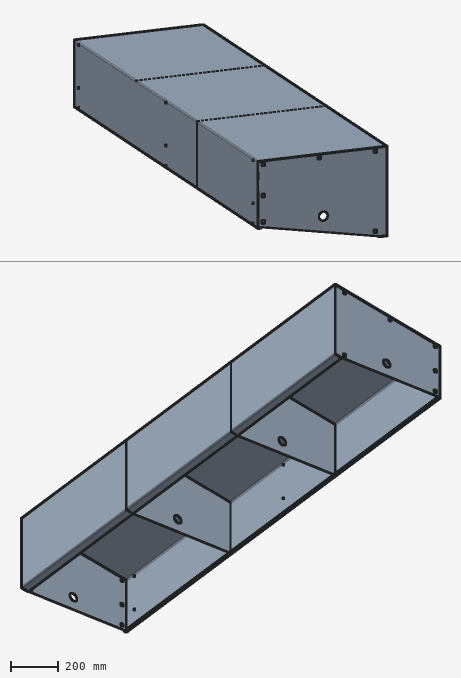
import cadquery as cq

LENGTH = 2000.0
DEPTH = 600.0
HEIGHT = 400.0

SHEET = 2.0
BEND_RADIUS = 5.0

FRONT_WALL_BOTTOM = 100.0
FRONT_LIP = 15.0
REAR_LIP = 40.0

FIXING_HOLE_DIAMETER = 8.0
FIXING_END_INSET = 50.0
FIXING_EDGE_INSET = 10.0
FIXING_COLUMNS = (FIXING_END_INSET, LENGTH / 2, LENGTH - FIXING_END_INSET)
FIXING_ROWS = (FRONT_WALL_BOTTOM + FIXING_EDGE_INSET, HEIGHT / 2, HEIGHT - FIXING_EDGE_INSET)

BAYS = 3
PLATE_THICKNESS = SHEET
PLATE_CLEARANCE = 2.0
PLATE_INSET = SHEET + PLATE_CLEARANCE
PLATE_FRONT_FLAT = 25.0
PLATE_REAR_FLAT = 42.0
END_PLATE_STARTS = (0, LENGTH - PLATE_THICKNESS)
PARTITION_STARTS = [LENGTH * i / BAYS - PLATE_THICKNESS / 2 for i in range(1, BAYS)]

CABLE_HOLE_DIAMETER = 40.0
CABLE_HOLE_CENTRE = (305.0, 122.0)

SCREW_HOLE_DIAMETER = 15.0
SCREW_FRONT_Y = 28.0
SCREW_REAR_Y = DEPTH - 55.0
SCREW_MIDDLE_Y = (SCREW_FRONT_Y + SCREW_REAR_Y) / 2
SCREW_TOP_Z = HEIGHT - 18.0
SCREW_FRONT_MIDDLE_Z = 245.0
SCREW_FRONT_BOTTOM_Z = 128.0
SCREW_REAR_BOTTOM_Z = 28.0
SCREW_CENTRES = [
    (SCREW_FRONT_Y, SCREW_TOP_Z),
    (SCREW_MIDDLE_Y, SCREW_TOP_Z),
    (SCREW_REAR_Y, SCREW_TOP_Z),
    (SCREW_FRONT_Y, SCREW_FRONT_MIDDLE_Z),
    (SCREW_FRONT_Y, SCREW_FRONT_BOTTOM_Z),
    (SCREW_REAR_Y, SCREW_REAR_BOTTOM_Z),
]


def section_prism(start, length, inset, front_flat, rear_flat):
    """Prism along X with the housing cross-section, moved in by inset and rounded at its four bends.

    The bottom is flat from the front to Y = front_flat and over the last rear_flat before the rear,
    with a slope between the two flats.
    """
    front = inset
    rear = DEPTH - inset
    top = HEIGHT - inset
    outline = [
        (front, FRONT_WALL_BOTTOM + inset),
        (front, top),
        (rear, top),
        (rear, inset),
        (DEPTH - rear_flat, inset),
        (front_flat, FRONT_WALL_BOTTOM + inset),
    ]
    prism = cq.Workplane("YZ", origin=(start, 0, 0)).polyline(outline).close().extrude(length)
    return prism.edges("|X and (<Y or >Y)").fillet(BEND_RADIUS - inset)


def holes_along_x(start, length, centres, diameter):
    """Round cutters along X at the given (Y, Z) centres."""
    plane = cq.Workplane("YZ", origin=(start, 0, 0))
    return plane.pushPoints(centres).circle(diameter / 2).extrude(length)


def make_housing():
    """One bent sheet, open at both ends and open underneath between its two lips."""
    outside = section_prism(0, LENGTH, 0, FRONT_LIP, REAR_LIP)
    inside = section_prism(0, LENGTH, SHEET, FRONT_LIP, REAR_LIP)
    opening = cq.Workplane("XY", origin=(0, FRONT_LIP, 0)).box(
        LENGTH, DEPTH - FRONT_LIP - REAR_LIP, HEIGHT / 2, centered=False
    )
    fixing_centres = [(x, z) for x in FIXING_COLUMNS for z in FIXING_ROWS]
    fixing_holes = (
        cq.Workplane("XZ").pushPoints(fixing_centres).circle(FIXING_HOLE_DIAMETER / 2).extrude(-BEND_RADIUS)
    )
    return outside.cut(inside).cut(opening).cut(fixing_holes)


def make_partition(start):
    """Flat cross plate with a sloped lower edge and the cable hole."""
    blank = section_prism(start, PLATE_THICKNESS, PLATE_INSET, PLATE_FRONT_FLAT, PLATE_REAR_FLAT)
    return blank.cut(holes_along_x(start, PLATE_THICKNESS, [CABLE_HOLE_CENTRE], CABLE_HOLE_DIAMETER))


def make_end_plate(start):
    """Partition shape with screw holes around its rim."""
    screw_holes = holes_along_x(start, PLATE_THICKNESS, SCREW_CENTRES, SCREW_HOLE_DIAMETER)
    return make_partition(start).cut(screw_holes)


housing = make_housing()
end_plates = [make_end_plate(start) for start in END_PLATE_STARTS]
partitions = [make_partition(start) for start in PARTITION_STARTS]

result = cq.Compound.makeCompound([body.solids().val() for body in [housing, *end_plates, *partitions]])